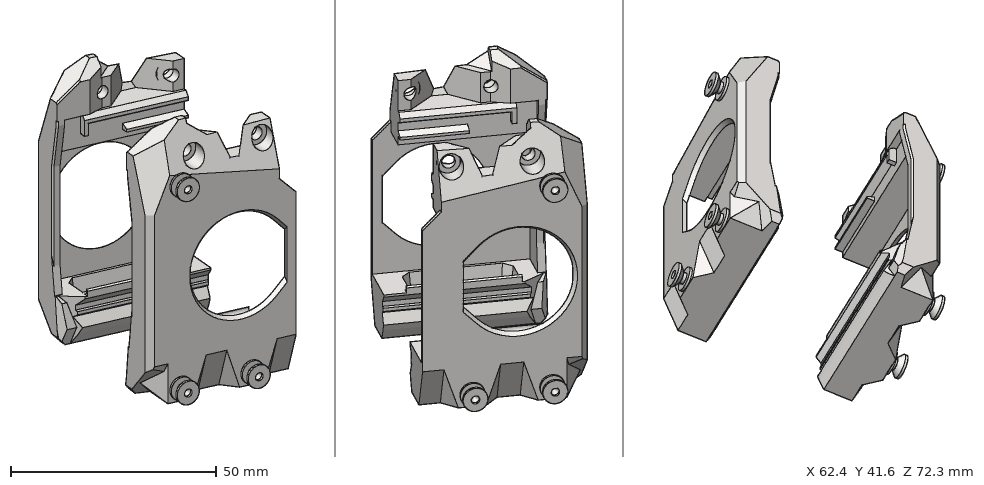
import cadquery as cq
import math

DEPTH = 41.6
HEIGHT = 72.3
OUTER_X = 27.6
WALL = 1.2
WALL_X = OUTER_X - WALL
FAR = 144.6
PAST = 3.6

TOP_Z = 67.4
BLOCK_BACK_Y = 36.9
BACK_STEP_LOW_Z = 48.4
BACK_STEP_HIGH_Z = 53.0
PEAK_FRONT_Y = 11.35
PEAK_BACK_Y = 13.45
PEAK_LIP_Z = 71.05
PEAK_FOOT_Y = 18.5
BROW_Z = 64.2
TOE_Y = 1.8
TOE_Z = 2.0

EDGE_X = 26.0
EDGE_Y = 1.7
FACET_Z = 50.8
FACET_Y = 6.0
LEAN_FRONT_Z = 60.5
LEAN_BACK_Z = 55.6
LEAN = 0.39
FACET_TIP_X = 20.2
PEAK_INNER_X = 20.75

SHOULDER_FOOT_X = 24.15
SHOULDER_INNER_X = 19.1
SHOULDER_LIP_X = 23.0

BLOCK_X = 18.8
BLOCK_Z = 50.2
RIM_X = 16.9
RAIL_X = 16.8
RAIL_RIDGE_X = 17.9
BLOCK_STEP_FRONT_Y = 9.25
BLOCK_STEP_BACK_Y = 13.7
UPPER_RAIL_Y = 7.65
LOWER_RAIL_Y = 19.5
RAIL_EDGE_HIGH_Z = 58.0
RAIL_EDGE_LOW_Z = 57.0
RAIL_ROOT_Z = 56.1
LOWER_RAIL_ROOT_Z = 53.9
LOWER_RAIL_EDGE_Z = 53.05
LOWER_RAIL_Z = 52.35
RAIL_ARM = 1.15
RAIL_ARM_Z = 53.8
NOTCH_Z = 59.3
NOTCH_SILL_X = 25.45
NOTCH_SILL_TOP_X = 26.25
NOTCH_SILL_TOP_Z = 60.9
NOTCH_FRONT_Y = 23.7
NOTCH_BACK_Y = 26.25

RIM_DEPTH = 2.2
RIM_BEVEL = 0.4
WAIST_X = 19.15
WAIST_LOW_Z = 19.95
WAIST_HIGH_Z = 46.3
RIM_SLOPE_Z = 58.0
RIM_FOOT_X = 16.85
RIM_FOOT_Z = 4.0

SHELF_X = 13.95
SHELF_Z = 12.6
FOOT_X = 16.05
SHELF_END_OUTER = (17.35, 1.2)
SHELF_END_INNER = (14.75, 5.05)
TOE_NOSE_X = 15.1
TOE_NOSE_Z = 4.35
TOE_TOP_X = 17.8
LIP_X = 14.45
LIP_Z = 14.25
LIP_ROOT_X = 15.6
TOE_BLOCK_Y = 4.85
LIP_FRONT_Y = 6.95
LIP_BACK_Y = 35.85
TROUGH_X = (16.6, 25.5)
TROUGH_Y = (7.0, 34.8)
TROUGH_Z = 7.2
TROUGH_CORNER = 2.25
TROUGH_DRAFT = 8.0

PITCH = 19.95
SCREW_Y = 9.2
SCREW_LOW_Z = 3.4
SCREW_HIGH_Z = 57.4
BOLT_Y = 13.7
BOLT_Z = 63.5
BOLT_DIA = 3.4
BOLT_BORE_DIA = 6.0
BOLT_BORE_FLOOR_X = 21.7
RECESS_Z = 10.6
RECESS_DEPTH = 3.9
RECESS_FRONT_Y = 16.3
RECESS_BACK_Y = 22.05
RECESS_FLARE = 3.6
CORNER_Y = 5.5
CORNER_POINT = (22.1, 0.9, 4.5)
CORNER_OVERHANG_HIGH = (26.0, 0, 8.8)
CORNER_OVERHANG_LOW = (19.5, 0, 1.95)

OPENING_Z = 32.4
OPENING_TAPER = 0.8

SCREW_TIP_X = 31.19
HEAD_DIA = 6.2
NECK_DIA = 3.0
CONE_DIA = 3.4
FLANGE = 0.65
NECK_END = 1.6
CONE_END = 2.9
SOCKET_DIA = 2.1
SOCKET_DEPTH = 0.7


def trim(body, inside, *corners):
    """Cut away what lies beyond the plane through three corners, keeping the side of `inside`."""
    a, b, c = [cq.Vector(*corner) for corner in corners]
    normal = (b - a).cross(c - a)
    if normal.dot(cq.Vector(*inside) - a) > 0:
        normal = normal * -1
    plane = cq.Plane(origin=a, xDir=b - a, normal=normal)
    return body.cut(cq.Workplane(plane).rect(2 * FAR, 2 * FAR).extrude(FAR))


def side_prism(outline, x_start, x_end):
    """Extrude a (Y, Z) outline along X."""
    return cq.Workplane("YZ").workplane(offset=x_start).polyline(outline).close().extrude(x_end - x_start)


def front_prism(outline, y_start, y_end):
    """Extrude an (X, Z) outline along Y."""
    return cq.Workplane("XZ").workplane(offset=-y_end).polyline(outline).close().extrude(y_end - y_start)


def plan_prism(outline, z_start, z_end):
    """Extrude an (X, Y) outline along Z."""
    return cq.Workplane("XY").workplane(offset=z_start).polyline(outline).close().extrude(z_end - z_start)


def box(x_range, y_range, z_range):
    (x0, x1), (y0, y1), (z0, z1) = x_range, y_range, z_range
    return cq.Workplane("XY").box(x1 - x0, y1 - y0, z1 - z0, centered=False).translate((x0, y0, z0))


def envelope():
    """Outer bounds of a panel: the side outline with its outer facets."""
    outline = [
        (DEPTH, 0),
        (DEPTH, BACK_STEP_LOW_Z),
        (BLOCK_BACK_Y, BACK_STEP_HIGH_Z),
        (BLOCK_BACK_Y, TOP_Z),
        (PEAK_FOOT_Y, TOP_Z),
        (PEAK_BACK_Y, PEAK_LIP_Z),
        (PEAK_BACK_Y, HEIGHT),
        (PEAK_FRONT_Y, HEIGHT),
        (0, BROW_Z),
        (0, TOE_Z),
        (TOE_Y, 0),
    ]
    core = (WALL_X - PAST, DEPTH / 2, HEIGHT / 2)
    body = side_prism(outline, 0, OUTER_X)
    body = trim(
        body, core,
        (OUTER_X, FACET_Y, LEAN_FRONT_Z),
        (OUTER_X, BLOCK_BACK_Y, LEAN_BACK_Z),
        (OUTER_X - LEAN * (HEIGHT - LEAN_FRONT_Z), FACET_Y, HEIGHT),
    )
    body = trim(
        body, core,
        (OUTER_X, FACET_Y, LEAN_FRONT_Z),
        (OUTER_X, EDGE_Y, FACET_Z),
        (FACET_TIP_X, 0, BROW_Z),
    )
    body = trim(body, core, (OUTER_X, EDGE_Y, 0), (EDGE_X, 0, 0), (EDGE_X, 0, HEIGHT))
    body = trim(
        body, core,
        (RIM_X + RIM_BEVEL, 0, BROW_Z),
        (RIM_X + RIM_BEVEL, PEAK_FRONT_Y, HEIGHT),
        (RIM_X, 0, BROW_Z - RIM_BEVEL),
    )
    return trim(
        body, core,
        (PEAK_INNER_X, 0, HEIGHT),
        (PEAK_INNER_X, DEPTH, HEIGHT),
        (PEAK_INNER_X - PAST, 0, HEIGHT - PAST),
    )


def mounting_block():
    """Thick upper block; above the rails its front end steps inward to the rim."""
    plan = [
        (OUTER_X, 0),
        (RIM_X, 0),
        (RIM_X, BLOCK_STEP_FRONT_Y),
        (BLOCK_X, BLOCK_STEP_BACK_Y),
        (BLOCK_X, BLOCK_BACK_Y),
        (OUTER_X, BLOCK_BACK_Y),
    ]
    base = box((BLOCK_X, OUTER_X), (0, BLOCK_BACK_Y), (BLOCK_Z, NOTCH_Z))
    return base.union(plan_prism(plan, NOTCH_Z, HEIGHT))


def rails():
    """Two lipped rails along the inner face of the block."""
    upper = [
        (BLOCK_X, NOTCH_Z),
        (RAIL_RIDGE_X, NOTCH_Z),
        (RAIL_X, RAIL_EDGE_HIGH_Z),
        (RAIL_X, RAIL_EDGE_LOW_Z),
        (BLOCK_X, RAIL_ROOT_Z),
    ]
    lower = [
        (BLOCK_X, LOWER_RAIL_ROOT_Z),
        (RAIL_X, LOWER_RAIL_EDGE_Z),
        (RAIL_X, LOWER_RAIL_Z),
        (BLOCK_X, LOWER_RAIL_Z),
    ]
    arm_y = (UPPER_RAIL_Y, UPPER_RAIL_Y + RAIL_ARM)
    arm = box((RAIL_X, BLOCK_X), arm_y, (RAIL_ARM_Z, RAIL_EDGE_HIGH_Z))
    upper_rail = front_prism(upper, UPPER_RAIL_Y, BLOCK_BACK_Y)
    lower_rail = front_prism(lower, LOWER_RAIL_Y, BLOCK_BACK_Y)
    return upper_rail.union(arm).union(lower_rail)


def front_rim():
    """Deep rim along the front, narrow at the waist, with a bevelled inner edge."""
    inner_edge = [
        (RIM_X, HEIGHT),
        (RIM_X, RIM_SLOPE_Z),
        (WAIST_X, WAIST_HIGH_Z),
        (WAIST_X, WAIST_LOW_Z),
        (RIM_FOOT_X, RIM_FOOT_Z),
        (FOOT_X, 0),
    ]
    profile = inner_edge + [(OUTER_X, 0), (OUTER_X, HEIGHT)]
    rim = front_prism(profile, 0, RIM_DEPTH)
    waist = cq.selectors.BoxSelector((RIM_X - 0.7, -0.7, SHELF_Z), (WAIST_X + 0.7, 0.7, HEIGHT))
    return rim.edges(waist).chamfer(RIM_BEVEL)


def shelf():
    """Bottom shelf with its grooved inner side, upright lip and drafted trough."""
    profile = [
        (OUTER_X, 0),
        (FOOT_X, 0),
        (14.9, 2.6),
        (14.3, 4.35),
        (15.6, 7.15),
        (15.05, 7.65),
        (15.05, 8.5),
        (15.25, 9.0),
        (15.25, 10.3),
        (SHELF_X, 12.0),
        (SHELF_X, SHELF_Z),
        (OUTER_X, SHELF_Z),
    ]
    body = front_prism(profile, 0, DEPTH)
    body = trim(
        body, (WALL_X, DEPTH, SHELF_Z),
        (*SHELF_END_OUTER, 0),
        (*SHELF_END_OUTER, SHELF_Z),
        (*SHELF_END_INNER, SHELF_Z),
    )
    lip = (
        cq.Workplane("XZ").workplane(offset=-LIP_BACK_Y)
        .moveTo(SHELF_X, SHELF_Z)
        .lineTo(SHELF_X, LIP_Z - 0.35)
        .lineTo(LIP_X, LIP_Z)
        .threePointArc((14.7, 13.15), (LIP_ROOT_X, SHELF_Z))
        .close()
        .extrude(LIP_BACK_Y - LIP_FRONT_Y)
    )
    (x0, x1), (y0, y1) = TROUGH_X, TROUGH_Y
    trough = (
        cq.Workplane("XY").workplane(offset=SHELF_Z)
        .polyline([
            (x0, y0),
            (x1 - TROUGH_CORNER, y0),
            (x1, y0 + TROUGH_CORNER),
            (x1, y1 - TROUGH_CORNER),
            (x1 - TROUGH_CORNER, y1),
            (x0, y1),
        ])
        .close()
        .extrude(TROUGH_Z - SHELF_Z, taper=TROUGH_DRAFT)
    )
    return body.union(lip).cut(trough)


def toe_block():
    """Leaning block at the front end of the shelf, bevelled toward the front face."""
    profile = [
        (WALL_X, 0),
        (FOOT_X, 0),
        (TOE_NOSE_X, TOE_NOSE_Z),
        (16.5, 10.85),
        (17.65, SHELF_Z),
        (WALL_X, SHELF_Z),
    ]
    return trim(
        front_prism(profile, 0, TOE_BLOCK_Y), (WALL_X, TOE_BLOCK_Y, 0),
        (TOE_TOP_X, 0, SHELF_Z),
        (RIM_FOOT_X, 0, RIM_FOOT_Z),
        (TOE_NOSE_X, TOE_Y, TOE_NOSE_Z),
    )


def chevron_notch():
    """Notch in the block top, widening inward at 45 degrees."""
    reach = NOTCH_SILL_TOP_X - SHELF_X
    plan = [
        (OUTER_X + PAST, NOTCH_FRONT_Y),
        (NOTCH_SILL_TOP_X, NOTCH_FRONT_Y),
        (SHELF_X, NOTCH_FRONT_Y - reach),
        (SHELF_X, NOTCH_BACK_Y + reach),
        (NOTCH_SILL_TOP_X, NOTCH_BACK_Y),
        (OUTER_X + PAST, NOTCH_BACK_Y),
    ]
    above_block = box((0, FAR), (PEAK_FOOT_Y - PAST, DEPTH), (NOTCH_Z, TOP_Z + PAST))
    notch = plan_prism(plan, NOTCH_Z, HEIGHT).intersect(above_block)
    return trim(
        notch, (BLOCK_X, NOTCH_BACK_Y, TOP_Z),
        (NOTCH_SILL_X, NOTCH_FRONT_Y, NOTCH_Z),
        (NOTCH_SILL_X, NOTCH_BACK_Y, NOTCH_Z),
        (NOTCH_SILL_TOP_X, NOTCH_FRONT_Y, NOTCH_SILL_TOP_Z),
    )


def peak_shoulder():
    """Slope behind the peak that meets the block top along a diagonal."""
    blank = box((0, OUTER_X), (PEAK_BACK_Y, PEAK_FOOT_Y), (TOP_Z, HEIGHT))
    return trim(
        blank, (BLOCK_X, PEAK_FOOT_Y, HEIGHT),
        (SHOULDER_FOOT_X, PEAK_FOOT_Y, TOP_Z),
        (SHOULDER_INNER_X, PEAK_BACK_Y, TOP_Z),
        (SHOULDER_LIP_X, PEAK_BACK_Y, PEAK_LIP_Z),
    )


def bolt_hole(y):
    """Through hole in the block with a flat-bottomed bore from outside."""
    start = cq.Workplane("YZ").center(y, BOLT_Z)
    through = start.circle(BOLT_DIA / 2).extrude(FAR)
    bore = start.workplane(offset=BOLT_BORE_FLOOR_X).circle(BOLT_BORE_DIA / 2).extrude(FAR)
    return through.union(bore)


def below_slope(body):
    """Keep the part of a cutter outside the recess floor, which leans inward going down."""
    return trim(
        body, (OUTER_X + PAST, 0, -PAST),
        (OUTER_X, 0, RECESS_Z),
        (OUTER_X, DEPTH, RECESS_Z),
        (OUTER_X - RECESS_DEPTH, 0, 0),
    )


def outer_recess(front_y, back_y):
    """Sloped recess at the bottom of the outer face with flared side walls."""
    cutter = box((0, OUTER_X + 0.7), (0, FAR), (-0.7, RECESS_Z + 0.7))
    middle = (OUTER_X, (front_y + back_y) / 2, 0.7)
    for floor_y, flare in ((front_y, -RECESS_FLARE), (back_y, RECESS_FLARE)):
        cutter = trim(
            cutter, middle,
            (OUTER_X, floor_y, RECESS_Z),
            (OUTER_X - RECESS_DEPTH, floor_y, 0),
            (OUTER_X, floor_y + flare, 0),
        )
    return below_slope(cutter)


def corner_recess():
    """Faceted recess at the bottom outer front corner."""
    foot = (OUTER_X, CORNER_Y, 0)
    foot_line = (0, CORNER_Y, 0)
    overhang = (CORNER_POINT, CORNER_OVERHANG_HIGH, CORNER_OVERHANG_LOW)
    below = (OUTER_X, 0, -FAR / 2)
    blank = box((0, OUTER_X + 0.7), (-0.7, DEPTH / 2), (-0.7, RECESS_Z))
    upright = trim(blank, (OUTER_X, -0.7, 0), foot, CORNER_POINT, (OUTER_X, CORNER_Y, RECESS_Z))
    facets = trim(upright, below, *overhang)
    under_bevel = trim(trim(blank, below, *overhang), below, foot, CORNER_POINT, foot_line)
    return facets.union(under_bevel).union(below_slope(upright))


def lens_opening(center_y, radius, flat_y):
    """Tapered opening: a circle running out at 45 degrees to a flat back edge."""
    tangent = radius * math.sqrt(0.5)
    tip_y = center_y + radius * math.sqrt(2)
    opening = (
        cq.Workplane("YZ").workplane(offset=OUTER_X)
        .moveTo(center_y + tangent, OPENING_Z + tangent)
        .threePointArc((center_y - radius, OPENING_Z), (center_y + tangent, OPENING_Z - tangent))
        .lineTo(tip_y, OPENING_Z)
        .close()
        .extrude(-WALL, taper=math.degrees(math.atan(OPENING_TAPER / WALL)))
    )
    return opening.intersect(box((0, FAR), (0, flat_y), (0, HEIGHT)))


def side_panel(opening):
    panel = box((WALL_X, OUTER_X), (0, DEPTH), (0, HEIGHT))
    for piece in (mounting_block(), rails(), front_rim(), shelf(), toe_block()):
        panel = panel.union(piece)
    panel = panel.intersect(envelope())
    cutters = [
        chevron_notch(),
        peak_shoulder(),
        bolt_hole(BOLT_Y),
        bolt_hole(BOLT_Y + PITCH),
        outer_recess(RECESS_FRONT_Y, RECESS_BACK_Y),
        outer_recess(RECESS_FRONT_Y + PITCH, RECESS_BACK_Y + PITCH),
        corner_recess(),
        opening,
    ]
    for cutter in cutters:
        panel = panel.cut(cutter)
    return panel.solids().val()


def flanged_screw(y, z):
    """Screw seated on the outer face: flange, neck, cone and head with a round socket."""
    tip = SCREW_TIP_X - OUTER_X
    head_r = HEAD_DIA / 2
    socket_r = SOCKET_DIA / 2
    profile = [
        (0, 0),
        (head_r, 0),
        (head_r, FLANGE),
        (NECK_DIA / 2, FLANGE),
        (NECK_DIA / 2, NECK_END),
        (CONE_DIA / 2, NECK_END),
        (head_r, CONE_END),
        (head_r, tip),
        (socket_r, tip),
        (socket_r, tip - SOCKET_DEPTH),
        (0, tip - SOCKET_DEPTH - socket_r),
    ]
    screw = cq.Workplane("XY").polyline(profile).close().revolve(360, (0, 0), (0, 1))
    return screw.rotate((0, 0, 0), (0, 0, 1), -90).translate((OUTER_X, y, z))


right_panel = side_panel(lens_opening(center_y=26.0, radius=14.4, flat_y=39.05))
left_panel = side_panel(lens_opening(center_y=17.5, radius=14.7, flat_y=31.4)).mirror("YZ")

screws = []
for screw_y, screw_z in (
    (SCREW_Y, SCREW_LOW_Z),
    (SCREW_Y + PITCH, SCREW_LOW_Z),
    (SCREW_Y, SCREW_HIGH_Z),
):
    right_screw = flanged_screw(screw_y, screw_z)
    screws.append(right_screw.val())
    screws.append(right_screw.mirror("YZ").val())

result = cq.Compound.makeCompound([right_panel, left_panel, *screws])